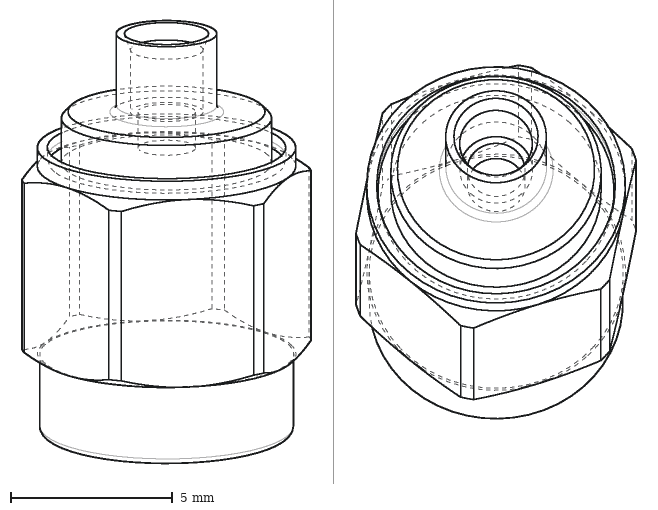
import cadquery as cq
import math

total_height = 12.75
across_flats = 8.0
across_corners = 9.0
bevel_angle = 30.0

hex_bottom = 2.5
hex_top = 8.5
collar_top = 9.1
shoulder_top = 10.25

base_radius = 3.93
collar_radius = across_flats / 2
shoulder_radius = 3.25
stem_radius = 1.55

edge_size = 0.2

gap_radius = 3.68
gap_wall_depth = 0.28
gap_floor_radius = 3.65
gap_floor_depth = 0.47

bore_mouth_radius = 1.3
bore_radius = 1.12
bore_taper_depth = 0.51
pin_hole_radius = 0.89
pin_hole_depth = 1.15


def cylinder(radius, bottom, top):
    """Round section on the Z axis between two levels."""
    return cq.Workplane("XY").workplane(offset=bottom).circle(radius).extrude(top - bottom)


def hex_nut():
    """Hexagon with flats facing +X and -X, its corners and both ends turned down."""
    sharp_corners = across_flats / math.cos(math.radians(30))
    height = hex_top - hex_bottom
    hexagon = (
        cq.Workplane("XY").workplane(offset=hex_bottom)
        .polygon(6, sharp_corners).extrude(height)
        .rotate((0, 0, 0), (0, 0, 1), 30)
    )
    corner_radius = across_corners / 2
    bevel_drop = (corner_radius - collar_radius) * math.tan(math.radians(bevel_angle))
    envelope = (
        cq.Workplane("XZ")
        .moveTo(0, hex_bottom)
        .lineTo(collar_radius, hex_bottom)
        .lineTo(corner_radius, hex_bottom + bevel_drop)
        .lineTo(corner_radius, hex_top - bevel_drop)
        .lineTo(collar_radius, hex_top)
        .lineTo(0, hex_top)
        .close()
        .revolve(360, (0, 0, 0), (0, 1, 0))
    )
    return hexagon.intersect(envelope)


def collar():
    """Thin ring above the hexagon with a recess that tapers in towards its floor."""
    ring = cylinder(collar_radius, hex_top, collar_top)
    recess = (
        cq.Workplane("XZ")
        .moveTo(0, collar_top)
        .lineTo(gap_radius, collar_top)
        .lineTo(gap_radius, collar_top - gap_wall_depth)
        .lineTo(gap_floor_radius, collar_top - gap_floor_depth)
        .lineTo(0, collar_top - gap_floor_depth)
        .close()
        .revolve(360, (0, 0, 0), (0, 1, 0))
    )
    return ring.cut(recess)


def base():
    """Plain round sleeve below the hexagon, rounded at the bottom edge."""
    return cylinder(base_radius, 0, hex_bottom).faces("<Z").edges().fillet(edge_size)


def shoulder_and_stem():
    """Chamfered shoulder carrying the stem, with a fillet at the stem root."""
    shoulder = cylinder(shoulder_radius, hex_bottom, shoulder_top)
    shoulder = shoulder.faces(">Z").edges().chamfer(edge_size)
    body = shoulder.union(cylinder(stem_radius, hex_bottom, total_height))
    margin = edge_size / 2
    root = cq.selectors.BoxSelector(
        (-stem_radius - margin, -stem_radius - margin, shoulder_top - margin),
        (stem_radius + margin, stem_radius + margin, shoulder_top + margin),
        boundingbox=True,
    )
    return body.edges(root).fillet(edge_size)


def stem_bore():
    """Tapered mouth, straight bore down to the shoulder and a smaller hole below."""
    taper_end = total_height - bore_taper_depth
    hole_bottom = shoulder_top - pin_hole_depth
    return (
        cq.Workplane("XZ")
        .moveTo(0, total_height)
        .lineTo(bore_mouth_radius, total_height)
        .lineTo(bore_radius, taper_end)
        .lineTo(bore_radius, shoulder_top)
        .lineTo(pin_hole_radius, shoulder_top)
        .lineTo(pin_hole_radius, hole_bottom)
        .lineTo(0, hole_bottom)
        .close()
        .revolve(360, (0, 0, 0), (0, 1, 0))
    )


result = base().union(hex_nut()).union(collar()).union(shoulder_and_stem()).cut(stem_bore())